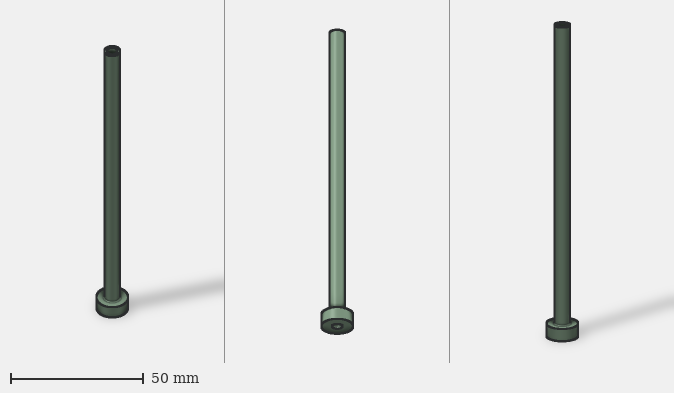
import cadquery as cq

total_length = 125.0
head_diameter = 12.0
head_height = 5.0
shaft_diameter = 6.0
bore_diameter = 4.0
neck_fillet = 0.5

bottom = -total_length / 2
head_top = bottom + head_height


def cylinder(diameter, length):
    """Upright cylinder standing on the bottom plane of the part."""
    return cq.Workplane("XY", origin=(0, 0, bottom)).circle(diameter / 2).extrude(length)


body = cylinder(head_diameter, head_height).union(cylinder(shaft_diameter, total_length))
neck_edge = cq.selectors.RadiusNthSelector(0)
body = body.faces(cq.selectors.NearestToPointSelector((0, 0, head_top))).edges(neck_edge).fillet(neck_fillet)

result = body.cut(cylinder(bore_diameter, total_length))